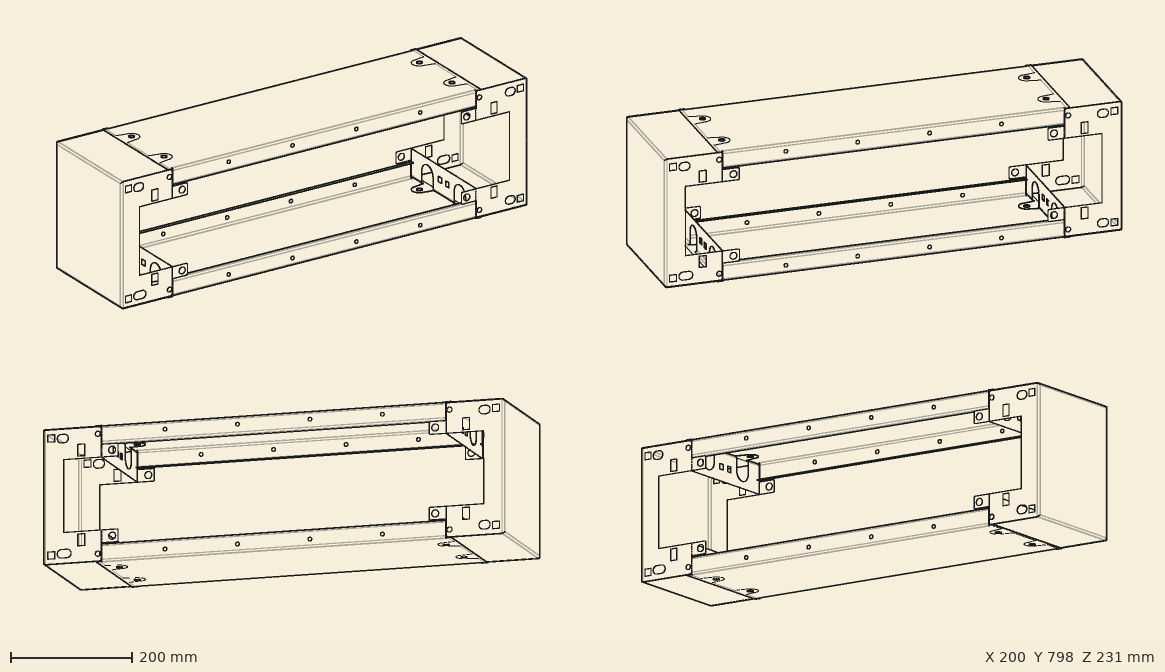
import cadquery as cq
length = 798.0
width = 200.0
height = 231.0

sheet = 1.0
bend_radius = 4.0
inner_bend_radius = bend_radius - sheet
seam = 1.0
inner_width = width - 2 * sheet
plate_width = inner_width - 2 * seam

box_depth = 101.0
box_height = height - 2 * sheet
box_end_y = length / 2 - box_depth
window_margin_y = 36.0
flange_height = 53.0
window_height = box_height - 2 * flange_height

tongue_length = 29.0
tongue_height = 21.5
tongue_corner_radius = 2.0
tongue_z = window_height / 2 + tongue_height / 2

tongue_hole_diameter = 12.0
tongue_hole_inset = 120.0
tongue_hole_z = 73.0
rivet_hole_diameter = 9.0
rivet_hole_inset = 95.0
rivet_hole_z = 101.0
upright_slot_size = (12.0, 20.0)
upright_slot_inset = 66.0
upright_slot_z = 76.0
oval_slot_length = 19.0
oval_slot_width = 14.0
oval_slot_inset = 34.0
oval_slot_extension = 5.0
oval_slot_z = 97.0
square_hole_size = 12.0
square_hole_inset = 14.0
square_hole_z = 99.0

tab_spacing_x = 99.0
tab_xs = (-tab_spacing_x / 2, tab_spacing_x / 2)
tab_hole_y = 282.5
tab_hole_diameter = 10.0
tab_base_width = 34.0
tab_tip_radius = 13.5
tab_window_height = 41.0
flange_hole_size = 9.5
flange_hole_spacing = 22.0
flange_hole_height = 28.0

panel_lap = 9.5
panel_side_height = 31.0
panel_lip_width = 9.5
panel_side_hole_diameter = 6.0
panel_side_hole_count = 4
panel_side_hole_pitch = 125.0


def block(x_size, y_range, z_range):
    """Block centred on X that spans the given Y and Z ranges."""
    (y0, y1), (z0, z1) = y_range, z_range
    return cq.Workplane("XY").box(x_size, y1 - y0, z1 - z0).translate((0, (y0 + y1) / 2, (z0 + z1) / 2))


def across(sketch):
    """Extrude a sketch on the YZ plane through the whole width."""
    return sketch.extrude(width, both=True)


def box_shell():
    """Open box whose end wall joins the four other walls in rounded bends."""
    half = box_height / 2
    outer = block(width, (box_end_y, length / 2), (-half, half))
    outer = outer.faces(">Y").edges().fillet(bend_radius)
    inner = block(
        inner_width, (box_end_y - sheet, length / 2 - sheet), (sheet - half, half - sheet)
    )
    inner = inner.faces(">Y").edges().fillet(inner_bend_radius)
    return outer.cut(inner)


def inner_flange():
    """Flange that rises from the lower plate at the open end, with two windows and two square holes."""
    half = box_height / 2
    corner = block(
        plate_width,
        (box_end_y, box_end_y + 2 * bend_radius),
        (-half, -half + flange_height),
    )
    corner = corner.edges("|X and <Y and <Z").fillet(bend_radius)
    hollow = block(
        width, (box_end_y + sheet, box_end_y + 3 * bend_radius), (sheet - half, half)
    )
    hollow = hollow.edges("|X and <Y and <Z").fillet(inner_bend_radius)
    flange = corner.cut(hollow)

    window_centers = [(x, 0) for x in tab_xs]
    arc_z = tab_window_height - tab_base_width / 2
    plane = cq.Workplane("XZ", origin=(0, box_end_y + bend_radius, -half))
    windows = plane.pushPoints(window_centers).rect(tab_base_width, 2 * arc_z).extrude(2 * bend_radius)
    arches = (
        plane.center(0, arc_z)
        .pushPoints(window_centers)
        .circle(tab_base_width / 2)
        .extrude(2 * bend_radius)
    )
    holes = (
        plane.center(0, flange_hole_height)
        .pushPoints([(-flange_hole_spacing / 2, 0), (flange_hole_spacing / 2, 0)])
        .rect(flange_hole_size, flange_hole_size)
        .extrude(2 * bend_radius)
    )
    return flange.cut(windows).cut(arches).cut(holes)


def bolting_tab(x):
    """Tapered tab with a round, drilled tip, level with the lower plate."""
    root_y = box_end_y + bend_radius
    plane = cq.Workplane("XY", origin=(x, 0, -box_height / 2))
    taper = plane.polyline(
        [
            (-tab_base_width / 2, root_y),
            (tab_base_width / 2, root_y),
            (tab_tip_radius, tab_hole_y),
            (-tab_tip_radius, tab_hole_y),
        ]
    ).close().extrude(sheet)
    tip = plane.center(0, tab_hole_y).circle(tab_tip_radius).extrude(sheet)
    hole = plane.center(0, tab_hole_y).circle(tab_hole_diameter / 2).extrude(sheet)
    return taper.union(tip).cut(hole)


def tongues():
    """Four tongues that carry on the side walls towards the middle of the frame."""
    tongue = (
        block(
            width,
            (box_end_y - tongue_length, box_end_y),
            (tongue_z - tongue_height / 2, tongue_z + tongue_height / 2),
        )
        .edges("|X and <Y")
        .fillet(tongue_corner_radius)
    )
    tongue = tongue.cut(cq.Workplane("XY").box(inner_width, length, height))
    return tongue.union(tongue.mirror("XY"))


def side_wall_cuts():
    """Everything cut through both side walls: the large window and the rows of holes."""
    end_y = length / 2

    def at(inset, z):
        return cq.Workplane("YZ").pushPoints([(end_y - inset, z), (end_y - inset, -z)])

    return [
        block(
            2 * width,
            (0, end_y - window_margin_y),
            (-window_height / 2, window_height / 2),
        ),
        across(at(tongue_hole_inset, tongue_hole_z).circle(tongue_hole_diameter / 2)),
        across(at(rivet_hole_inset, rivet_hole_z).circle(rivet_hole_diameter / 2)),
        across(at(upright_slot_inset, upright_slot_z).rect(*upright_slot_size)),
        across(at(oval_slot_inset, oval_slot_z).slot2D(oval_slot_length, oval_slot_width)),
        across(at(square_hole_inset, square_hole_z).rect(square_hole_size, square_hole_size)),
    ]


def oval_slot_extension_cut():
    """Lengthens the lower oval slot on the -X side towards the middle of the frame."""
    center_y = length / 2 - oval_slot_inset - oval_slot_extension / 2
    return (
        cq.Workplane("YZ", origin=(0, center_y, -oval_slot_z))
        .slot2D(oval_slot_length + oval_slot_extension, oval_slot_width)
        .extrude(-width)
    )


def plate_seams():
    """Narrow gaps that part the upper and lower plates from the side walls, up to the end bend."""
    seam_end_y = length / 2 - bend_radius
    y_range = (box_end_y, seam_end_y)
    z_range = (-box_height / 2, box_height / 2)
    between_walls = block(inner_width, y_range, z_range)
    return between_walls.cut(block(plate_width, y_range, z_range))


def end_box():
    """Box at the +Y end of the frame."""
    shell = box_shell()
    plate_end = block(
        inner_width, (box_end_y, box_end_y + bend_radius), (-box_height, box_height)
    )
    body = shell.cut(plate_end).cut(plate_seams()).union(tongues())
    body = body.cut(oval_slot_extension_cut())
    for cut in side_wall_cuts():
        body = body.cut(cut)
    ledge = inner_flange()
    for x in tab_xs:
        ledge = ledge.union(bolting_tab(x))
    return body.union(ledge).union(ledge.mirror("XY"))


def long_panel():
    """Upper panel: a plate with a bent, lipped side along each long edge, lapping over both boxes."""
    side_y = (-box_end_y, box_end_y)
    side_z = height / 2 - panel_side_height
    tube = (
        block(width, side_y, (side_z, height / 2))
        .edges("|Y")
        .fillet(bend_radius)
    )
    hollow = (
        block(inner_width, side_y, (side_z + sheet, height / 2 - sheet))
        .edges("|Y")
        .fillet(inner_bend_radius)
    )
    opening = block(
        width - 2 * panel_lip_width, side_y, (side_z, side_z + bend_radius)
    )
    panel = tube.cut(hollow).cut(opening)
    for direction in (-1, 1):
        lap = block(width, (0, panel_lap), (height / 2 - sheet, height / 2))
        lap_y = box_end_y if direction > 0 else -box_end_y - panel_lap
        panel = panel.union(lap.translate((0, lap_y, 0)))

    bolt_holes = (
        cq.Workplane("XY")
        .rarray(tab_spacing_x, 2 * tab_hole_y, 2, 2)
        .circle(tab_hole_diameter / 2)
        .extrude(height)
    )
    side_holes = across(
        cq.Workplane("YZ", origin=(0, 0, rivet_hole_z))
        .rarray(panel_side_hole_pitch, 8, panel_side_hole_count, 1)
        .circle(panel_side_hole_diameter / 2)
    )
    return panel.cut(bolt_holes).cut(side_holes)


bodies = []
for angle in (0, 180):
    bodies.append(end_box().rotate((0, 0, 0), (0, 0, 1), angle).val())
    bodies.append(long_panel().rotate((0, 0, 0), (0, 1, 0), angle).val())

result = cq.Compound.makeCompound(bodies)